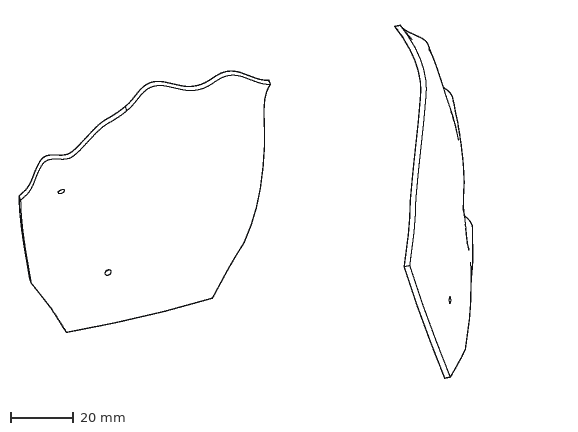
import cadquery as cq
import math


HEIGHT = 99.35
WIDTH = 84.8
DEPTH = 17.1
THICKNESS = 1.9
HOLE_DIAMETER = 2.1
HOLE_CENTRES = [(14.9, 63.0), (30.0, 20.4)]

FOOT_X = DEPTH - THICKNESS
BELLY_Z = 63.6
DISH_POWER = [(0.0, 1.0), (29.8, 1.7)]
FLUTE_START = 0.62
FLUTE_POWER = 1.8
GRID_STEP = 3.0
GRID_MARGIN = 2.0
SURFACE_TOLERANCE = 0.1

FOOT_BACK = (63.8, 0.7)
FOOT_FRONT = (14.7, 0.9)
FOOT_LOW = (41.7, 0.0)
FRONT_FLANK = (9.9, 12.9)
FRONT_KNEE = (3.6, 26.5)
FRONT_TIP = (0.0, 68.4)
BACK_TIP = (84.05, 95.4)

FRONT_EDGE = [(1.8, 43.8), (0.4, 61.0), FRONT_TIP]
BACK_EDGE = [(84.6, 66.4), (WIDTH, 57.6), (84.3, 49.8), (81.1, 30.2), (76.1, 17.6)]

RIM_EDGE = [
    FRONT_TIP, (2.1, 70.9), (5.8, 76.4), (15.1, 84.8), (32.6, 96.5),
    (36.0, 98.6), (41.9, 99.2), (50.7, HEIGHT), (59.8, 99.2), BACK_TIP,
]
RIM_WAVE = [
    (0.0, 12.9), (2.0, 13.9), (9.4, 9.3), (16.4, 15.2), (28.8, 12.1),
    (33.8, 12.5), (47.1, 5.4), (59.6, 10.9), (72.5, 6.6), (84.05, 12.4),
]
BELLY_CURVE = [
    (0.0, 11.4), (10.9, 8.6), (17.9, 7.9), (30.8, 6.2), (42.7, 2.6),
    (60.6, 0.0), (70.5, 0.5), (WIDTH, 3.5),
]


def linear(fraction):
    return fraction


def wave(fraction):
    """Half a cosine, level at both ends."""
    return (1 - math.cos(math.pi * fraction)) / 2


def interpolate(points, position, ease):
    """Value at position; the end values continue beyond the points."""
    if position <= points[0][0]:
        return points[0][1]
    for (start, low), (end, high) in zip(points, points[1:]):
        if position <= end:
            return low + (high - low) * ease((position - start) / (end - start))
    return points[-1][1]


def front_x(y, z):
    """Dish deepening from the foot to the belly, then blending into the fluted rim."""
    belly = interpolate(BELLY_CURVE, y, linear)
    rise = max(0.0, 1 - z / BELLY_Z) ** interpolate(DISH_POWER, y, linear)
    dish = belly + (FOOT_X - belly) * rise
    rim_z = interpolate(RIM_EDGE, y, linear)
    flute_z = FLUTE_START * rim_z
    blend = min(1.0, max(0.0, (z - flute_z) / (rim_z - flute_z))) ** FLUTE_POWER
    return dish + (interpolate(RIM_WAVE, y, wave) - dish) * blend


def stations(length):
    """Evenly spaced positions covering the length plus the margin at both ends."""
    span = length + 2 * GRID_MARGIN
    count = math.ceil(span / GRID_STEP)
    return [-GRID_MARGIN + span * i / count for i in range(count + 1)]


def make_sheet():
    grid = [
        [cq.Vector(front_x(y, z), y, z) for z in stations(HEIGHT)]
        for y in stations(WIDTH)
    ]
    face = cq.Face.makeSplineApprox(grid, tol=SURFACE_TOLERANCE, minDeg=3, maxDeg=3)
    return cq.Workplane(cq.Solid.extrudeLinear(face, cq.Vector(THICKNESS, 0, 0)))


def make_outline():
    outline = cq.Workplane("YZ").moveTo(*FOOT_BACK)
    outline = outline.threePointArc(FOOT_LOW, FOOT_FRONT)
    outline = outline.lineTo(*FRONT_FLANK).lineTo(*FRONT_KNEE)
    outline = outline.spline(FRONT_EDGE, includeCurrent=True)
    for point in RIM_EDGE[1:]:
        outline = outline.lineTo(*point)
    outline = outline.spline(BACK_EDGE, includeCurrent=True)
    return outline.close().extrude(DEPTH + GRID_MARGIN)


def make_holes():
    holes = cq.Workplane("YZ").pushPoints(HOLE_CENTRES).circle(HOLE_DIAMETER / 2)
    return holes.extrude(DEPTH)


result = make_sheet().intersect(make_outline()).cut(make_holes())